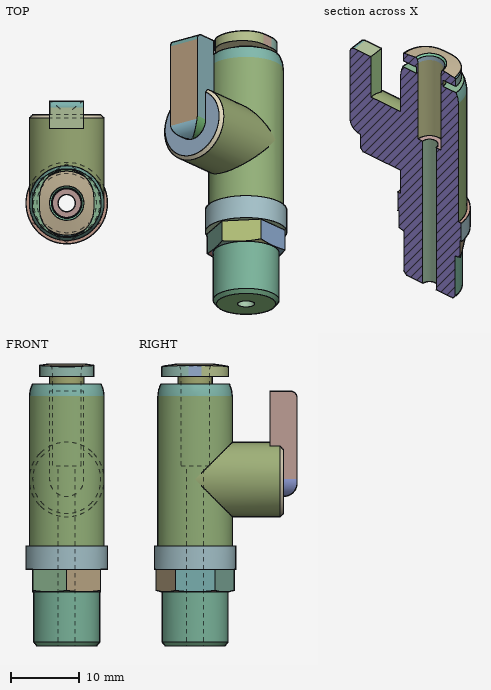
import cadquery as cq
import math

stem_radius = 9.73 / 2
stem_chamfer_width = 0.5
stem_chamfer_height = 0.6
stem_top = 8.0

hex_across_flats = 10.0
hex_top = 11.3
hex_chamfer_angle = 15.0
hex_half_side_angle = 180 / 6

collar_radius = 6.0
collar_top = 14.75
body_radius = 5.5
shoulder_bottom = 36.7
shoulder_top = 38.55
shoulder_top_radius = 5.05

neck_radius = 2.55
head_bottom = 39.6
total_height = 41.5
head_length = 9.86
head_width = 7.95
head_crease_radius = 4.7
head_crease_drop = 0.32
head_rim_drop = 0.45

flow_radius = 2.5 / 2
tube_radius = 4.2 / 2
tube_mouth_radius = 5.04 / 2
tube_taper_radius = 2.25
tube_taper_start = 0.3
tube_taper_end = 1.0
tube_depth = 15.0

branch_height = 24.5
branch_end = 13.0
branch_chamfer = 0.5

handle_width = 5.0
handle_inner = 11.0
handle_outer = 15.0
handle_top = 37.5
handle_top_fillet = 1.0
handle_bottom_fillet = 2.0


def revolve_about_z(profile):
    """Full turn of a closed half-profile in the XZ plane around the body axis."""
    return profile.revolve(360, (0, 0, 0), (0, 1, 0))


def cylinder(radius, bottom, top):
    """Upright cylinder on the body axis between two heights."""
    return cq.Workplane("XY").workplane(offset=bottom).circle(radius).extrude(top - bottom)


def make_stem():
    """Threaded stem with a lead-in chamfer at its lower end."""
    profile = (
        cq.Workplane("XZ")
        .lineTo(stem_radius - stem_chamfer_width, 0)
        .lineTo(stem_radius, stem_chamfer_height)
        .lineTo(stem_radius, stem_top)
        .lineTo(0, stem_top)
        .close()
    )
    return revolve_about_z(profile)


def make_hexagon():
    """Hexagon whose lower corners are trimmed by a cone."""
    flat_radius = hex_across_flats / 2
    corner_radius = flat_radius / math.cos(math.radians(hex_half_side_angle))
    trim_height = (corner_radius - flat_radius) * math.tan(math.radians(hex_chamfer_angle))
    prism = (
        cq.Workplane("XY")
        .workplane(offset=stem_top)
        .polygon(6, 2 * corner_radius)
        .extrude(hex_top - stem_top)
        .rotate((0, 0, 0), (0, 0, 1), hex_half_side_angle)
    )
    trim_profile = (
        cq.Workplane("XZ")
        .moveTo(0, stem_top)
        .lineTo(flat_radius, stem_top)
        .lineTo(corner_radius, stem_top + trim_height)
        .lineTo(corner_radius, hex_top)
        .lineTo(0, hex_top)
        .close()
    )
    return prism.intersect(revolve_about_z(trim_profile))


def make_body():
    """Body cylinder with a shoulder that curves in tangentially at the top."""
    profile = (
        cq.Workplane("XZ")
        .moveTo(0, collar_top)
        .lineTo(body_radius, collar_top)
        .lineTo(body_radius, shoulder_bottom)
        .tangentArcPoint((shoulder_top_radius, shoulder_top), relative=False)
        .lineTo(0, shoulder_top)
        .close()
    )
    return revolve_about_z(profile)


def make_button():
    """Release button: round neck and oblong head under a double cone."""
    neck = cylinder(neck_radius, shoulder_top, head_bottom)
    head = (
        cq.Workplane("XY")
        .workplane(offset=head_bottom)
        .slot2D(head_length, head_width, 90)
        .extrude(total_height - head_bottom)
    )
    head_radius = head_length / 2
    cone_profile = (
        cq.Workplane("XZ")
        .moveTo(0, head_bottom)
        .lineTo(head_radius, head_bottom)
        .lineTo(head_radius, total_height - head_rim_drop)
        .lineTo(head_crease_radius, total_height - head_crease_drop)
        .lineTo(tube_mouth_radius, total_height)
        .lineTo(0, total_height)
        .close()
    )
    return neck.union(head.intersect(revolve_about_z(cone_profile)))


def make_branch():
    """Side branch of the same diameter as the body, chamfered at its end."""
    return (
        cq.Workplane("XZ", origin=(0, 0, branch_height))
        .circle(body_radius)
        .extrude(-branch_end)
        .faces(">Y")
        .chamfer(branch_chamfer)
    )


def make_handle():
    """Lever ending in a half-round hub, with its outer face rounded off at both ends."""
    half_width = handle_width / 2
    hub_bottom = branch_height - half_width
    face_outline = (
        cq.Workplane("XZ", origin=(0, handle_inner, 0))
        .moveTo(half_width, branch_height)
        .lineTo(half_width, handle_top)
        .lineTo(-half_width, handle_top)
        .lineTo(-half_width, branch_height)
        .threePointArc((0, hub_bottom), (half_width, branch_height))
        .close()
        .extrude(handle_inner - handle_outer)
    )
    rounded_bar = (
        cq.Workplane("XY")
        .box(
            handle_width,
            handle_outer - handle_inner,
            handle_top - hub_bottom,
            centered=(True, False, False),
        )
        .translate((0, handle_inner, hub_bottom))
        .edges(">Y and >Z")
        .fillet(handle_top_fillet)
        .edges(">Y and <Z")
        .fillet(handle_bottom_fillet)
    )
    return face_outline.intersect(rounded_bar)


def make_bore():
    """Through flow bore widening to the tube socket with a chamfered and tapered mouth."""
    socket_bottom = total_height - tube_depth
    profile = (
        cq.Workplane("XZ")
        .lineTo(flow_radius, 0)
        .lineTo(flow_radius, socket_bottom)
        .lineTo(tube_radius, socket_bottom)
        .lineTo(tube_radius, total_height - tube_taper_end)
        .lineTo(tube_taper_radius, total_height - tube_taper_start)
        .lineTo(tube_mouth_radius, total_height)
        .lineTo(0, total_height)
        .close()
    )
    return revolve_about_z(profile)


result = (
    make_body()
    .union(make_stem())
    .union(make_hexagon())
    .union(cylinder(collar_radius, hex_top, collar_top))
    .union(make_button())
    .union(make_branch())
    .union(make_handle())
    .cut(make_bore())
)